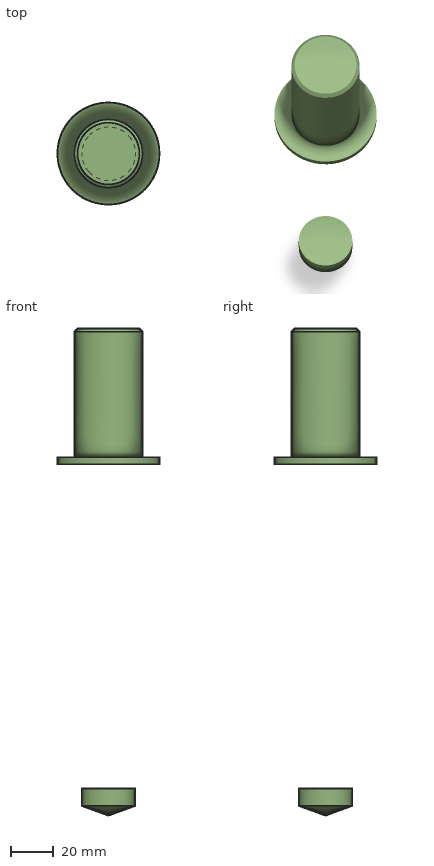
import cadquery as cq

total_height = 228.5

flange_diameter = 48.0
flange_thickness = 3.5
shaft_diameter = 32.0
pin_height = 63.8
top_chamfer = 1.5

plug_diameter = 25.1
plug_rim_height = 8.2
plug_cone_height = 4.5


def make_pin():
    """Upright shaft with a chamfered top and a round flange at its foot."""
    pin_base = total_height - pin_height
    flange = cq.Workplane("XY").workplane(offset=pin_base).circle(flange_diameter / 2).extrude(flange_thickness)
    shaft = (
        cq.Workplane("XY")
        .workplane(offset=pin_base)
        .circle(shaft_diameter / 2)
        .extrude(pin_height)
        .faces(">Z")
        .chamfer(top_chamfer)
    )
    return flange.union(shaft)


def make_plug():
    """Short disc with a conical underside, revolved about the Z axis."""
    plug_radius = plug_diameter / 2
    plug_top = plug_cone_height + plug_rim_height
    return (
        cq.Workplane("XZ")
        .moveTo(0, 0)
        .lineTo(plug_radius, plug_cone_height)
        .lineTo(plug_radius, plug_top)
        .lineTo(0, plug_top)
        .close()
        .revolve(360, (0, 0), (0, 1))
    )


pin = make_pin()
plug = make_plug()

result = cq.Compound.makeCompound([pin.val(), plug.val()])